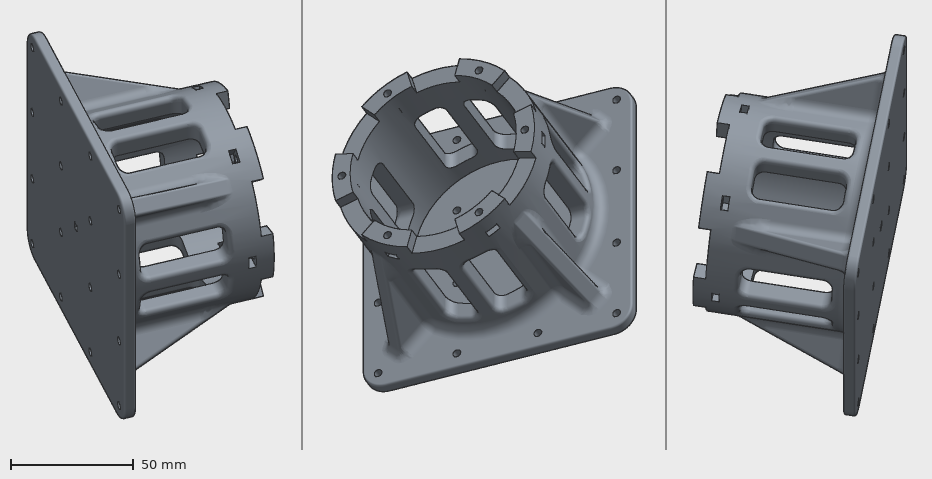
import cadquery as cq
import math

plate_side = 120.0
plate_thickness = 5.0
plate_corner_radius = 10.0
plate_edge_round = 1.0

total_height = 70.0
tube_radius = 45.0
bore_radius = 37.0
joint_fillet = 4.8
notch_depth = 5.0
tooth_count = 6
tooth_pitch = 360 / tooth_count
notch_angle = tooth_pitch / 2

bolt_hole_diameter = 3.4
outer_hole_offset = 53.0
inner_hole_offset = 18.0
hole_offsets = [-outer_hole_offset, -inner_hole_offset, inner_hole_offset, outer_hole_offset]
center_hole_side = 3.0

gusset_count = 4
gusset_thickness = 7.9
gusset_top = 55.2
gusset_reach = 64.3
gusset_ridge_round = 1.3

window_width = 14.0
window_height = 38.0
window_corner_radius = 4.0
window_rim_round = 2.0
window_offset = 10.9
window_middle = 32.0

nut_flats = 5.8
nut_circle_radius = 40.7
pocket_bottom = 59.0
pocket_height = 3.1
screw_hole_diameter = 3.4

touch = 0.01


def turned(shape, angle):
    return shape.rotate((0, 0, 0), (0, 0, 1), angle)


def edge_samples(edge):
    return [edge.positionAt(step / 4) for step in range(5)]


def on_tube(points):
    return all(abs(math.hypot(point.x, point.y) - tube_radius) < touch for point in points)


def make_plate():
    plate = cq.Workplane("XY").rect(plate_side, plate_side).extrude(plate_thickness)
    plate = plate.edges("|Z").fillet(plate_corner_radius)
    return plate.faces("<Z or >Z").edges().fillet(plate_edge_round)


def make_gusset():
    """Triangular rib rooted in the tube wall, with a rounded ridge falling to the plate."""
    root = (tube_radius + bore_radius) / 2
    ridge_slope = (gusset_top - plate_thickness) / (gusset_reach - tube_radius)
    root_top = gusset_top + (tube_radius - root) * ridge_slope
    gusset = (
        cq.Workplane("XZ")
        .polyline([(root, plate_thickness), (gusset_reach, plate_thickness), (root, root_top)])
        .close()
        .extrude(gusset_thickness / 2, both=True)
    )
    ridge_edges = gusset.edges("not(|X or |Y or |Z)")
    return ridge_edges.fillet(gusset_ridge_round)


def is_joint(edge):
    """True for edges where the tube, gussets and plate meet."""
    points = edge_samples(edge)
    on_plate = all(abs(point.z - plate_thickness) < touch for point in points)
    near_tube = all(math.hypot(point.x, point.y) < gusset_reach + touch for point in points)
    below_rim = all(point.z < total_height - touch for point in points)
    above_plate = all(point.z > plate_thickness - touch for point in points)
    return (on_plate and near_tube) or (on_tube(points) and above_plate and below_rim)


def make_body():
    """Plate, solid tube and gussets, blended together by one fillet."""
    tube = cq.Workplane("XY").circle(tube_radius).extrude(total_height)
    body = make_plate().union(tube)
    gusset = make_gusset()
    for index in range(gusset_count):
        body = body.union(turned(gusset, (index + 0.5) * 360 / gusset_count))
    joints = [edge for edge in body.edges().vals() if is_joint(edge)]
    return body.newObject(joints).fillet(joint_fillet)


def is_window_rim(edge):
    """True for edges where a window breaks through the outside of the tube."""
    points = edge_samples(edge)
    half_height = window_height / 2 + touch
    half_spread = window_offset + window_width / 2 + touch
    level = all(abs(point.z - window_middle) < half_height for point in points)
    beside_axis = all(min(abs(point.x), abs(point.y)) < half_spread for point in points)
    return on_tube(points) and level and beside_axis


def cut_windows(body):
    """Cut a pair of windows through the tube wall on each of its four sides and round their rims."""
    pair = (
        cq.Workplane("XZ")
        .pushPoints([(-window_offset, window_middle), (window_offset, window_middle)])
        .rect(window_width, window_height)
        .extrude(plate_side / 2, both=True)
        .edges("|Y")
        .fillet(window_corner_radius)
    )
    body = body.cut(pair).cut(turned(pair, 90))
    rims = [edge for edge in body.edges().vals() if is_window_rim(edge)]
    return body.newObject(rims).fillet(window_rim_round)


def make_notch_cutter():
    """Wedge that removes the rim between two teeth."""
    reach = 2 * tube_radius
    half_span = reach * math.tan(math.radians(notch_angle / 2))
    return (
        cq.Workplane("XY")
        .workplane(offset=total_height - notch_depth)
        .polyline([(0, 0), (reach, half_span), (reach, -half_span)])
        .close()
        .extrude(notch_depth)
    )


def make_nut_cutter():
    """Hexagonal nut seat drawn out past the tube, with a screw hole up through the tooth."""
    seat_center = cq.Workplane("XY", origin=(nut_circle_radius, 0, pocket_bottom))
    corner_diameter = nut_flats / math.cos(math.pi / 6)
    entry_length = tube_radius - bore_radius
    seat = seat_center.polygon(6, corner_diameter).extrude(pocket_height)
    entry = seat_center.center(entry_length / 2, 0).rect(entry_length, nut_flats).extrude(pocket_height)
    screw_hole = seat_center.circle(screw_hole_diameter / 2).extrude(total_height - pocket_bottom)
    return seat.union(entry).union(screw_hole)


def cut_rim(body):
    notch = make_notch_cutter()
    nut_pocket = make_nut_cutter()
    for index in range(tooth_count):
        body = body.cut(turned(notch, (index + 0.5) * tooth_pitch))
        body = body.cut(turned(nut_pocket, index * tooth_pitch))
    return body


def cut_plate_holes(body):
    bolt_points = [(x, y) for x in hole_offsets for y in hole_offsets]
    bolt_holes = (
        cq.Workplane("XY")
        .pushPoints(bolt_points)
        .circle(bolt_hole_diameter / 2)
        .extrude(plate_thickness)
    )
    center_hole = cq.Workplane("XY").rect(center_hole_side, center_hole_side).extrude(plate_thickness)
    return body.cut(bolt_holes).cut(center_hole)


bore = cq.Workplane("XY", origin=(0, 0, plate_thickness)).circle(bore_radius).extrude(total_height)
part = make_body().cut(bore)
part = cut_windows(part)
part = cut_rim(part)
part = cut_plate_holes(part)

result = part.rotate((0, 0, 0), (1, 0, 0), -90)